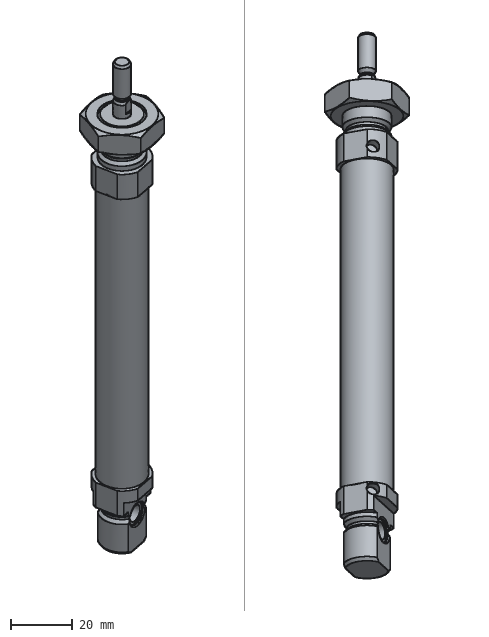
import cadquery as cq
import math

TOTAL_HEIGHT = 191.0
COVER_LENGTH = 10.0
REAR_COVER_BOTTOM = 17.0
FRONT_COVER_TOP = 153.0
BOSS_TOP = 170.2
FRONT_COVER_BOTTOM = FRONT_COVER_TOP - COVER_LENGTH

BARREL_DIAMETER = 17.4
COVER_DIAMETER = 20.0
COVER_ACROSS_FLATS = 18.1
BOSS_DIAMETER = 16.0
BOSS_END_DIAMETER = 14.3
BOSS_CHAMFER_LENGTH = 1.1
GROOVE_DIAMETER = 13.8
FRONT_GROOVE_TOP = 158.1
GROOVE_WIDTH = 3.2
REAR_GROOVE_TOP = 15.5

CLEVIS_THICKNESS = 12.0
CLEVIS_TOP = 22.2
PIVOT_HEIGHT = 13.0
PIVOT_DIAMETER = 6.0
PIVOT_RECESS_DIAMETER = 8.0
PIVOT_RECESS_DEPTH = 1.0
PIVOT_MOUTH_DIAMETER = 9.0

PORT_DIAMETER = 4.2
PORT_DEPTH = 3.8
PORT_ANGLE = 126.0
FRONT_PORT_HEIGHT = 147.0
REAR_PORT_HEIGHT = 24.6

ROD_DIAMETER = 6.0
ROD_END_DIAMETER = 4.8
ROD_CHAMFER_LENGTH = 1.0
ROD_NECK_DIAMETER = 4.2
ROD_THREAD_BOTTOM = 178.2
ROD_NECK_TOP = 176.9
ROD_SHOULDER = 176.5
ROD_ACROSS_FLATS = 5.0
ROD_FLATS_BOTTOM = 171.9

NUT_THICKNESS = 8.0
NUT_ACROSS_FLATS = 24.0
NUT_FACE_DIAMETER = 23.7
NUT_SIDES = 6
NUT_CHAMFER_ANGLE = 25.0


def cylinder(diameter, bottom, top):
    return cq.Workplane("XY").workplane(offset=bottom).circle(diameter / 2).extrude(top - bottom)


def turned(profile):
    """Revolve (radius, height) points, closed along the axis, about Z."""
    axis_points = [(0, profile[-1][1]), (0, profile[0][1])]
    return cq.Workplane("XZ").polyline(profile + axis_points).close().revolve(360, (0, 0), (0, 1))


def slab(width, depth, bottom, top):
    height = top - bottom
    return cq.Workplane("XY").workplane(offset=bottom).rect(width, depth).extrude(height)


def groove_profile(top):
    """Points of a 45-degree-sided groove in the boss diameter, from bottom to top."""
    outer = BOSS_DIAMETER / 2
    inner = GROOVE_DIAMETER / 2
    flank = outer - inner
    return [
        (outer, top - GROOVE_WIDTH),
        (inner, top - GROOVE_WIDTH + flank),
        (inner, top - flank),
        (outer, top),
    ]


def make_cover(bottom):
    """Round cover with four flats, square to X and Y."""
    top = bottom + COVER_LENGTH
    round_cover = cylinder(COVER_DIAMETER, bottom, top)
    return round_cover.intersect(slab(COVER_ACROSS_FLATS, COVER_ACROSS_FLATS, bottom, top))


def make_boss_and_stem():
    """Turned core: rear stem, barrel and front boss in one revolved profile."""
    boss_radius = BOSS_DIAMETER / 2
    end_radius = BOSS_END_DIAMETER / 2
    barrel_radius = BARREL_DIAMETER / 2
    stem = [(end_radius, 0), (boss_radius, BOSS_CHAMFER_LENGTH)]
    stem += groove_profile(REAR_GROOVE_TOP)
    stem += [(boss_radius, REAR_COVER_BOTTOM)]
    barrel = [(barrel_radius, REAR_COVER_BOTTOM), (barrel_radius, FRONT_COVER_TOP)]
    boss = [(boss_radius, FRONT_COVER_TOP)]
    boss += groove_profile(FRONT_GROOVE_TOP)
    boss += [(boss_radius, BOSS_TOP - BOSS_CHAMFER_LENGTH), (end_radius, BOSS_TOP)]
    return turned(stem + barrel + boss)


def cut_clevis_flats(body):
    """Trim both X sides of the rear end to the clevis thickness."""
    side_width = COVER_DIAMETER
    for side in (-1, 1):
        side_block = slab(side_width, 2 * COVER_DIAMETER, 0, CLEVIS_TOP)
        body = body.cut(side_block.translate((side * (CLEVIS_THICKNESS + side_width) / 2, 0, 0)))
    return body


def make_pivot_cutter():
    """Cross hole along X with a shallow recess, chamfered at 45 degrees, in each clevis face."""
    face = CLEVIS_THICKNESS / 2
    hole_radius = PIVOT_DIAMETER / 2
    recess_radius = PIVOT_RECESS_DIAMETER / 2
    mouth_radius = PIVOT_MOUTH_DIAMETER / 2
    recess_floor = face - PIVOT_RECESS_DEPTH
    chamfer_start = face - (mouth_radius - recess_radius)
    profile = [
        (mouth_radius, -face),
        (recess_radius, -chamfer_start),
        (recess_radius, -recess_floor),
        (hole_radius, -recess_floor),
        (hole_radius, recess_floor),
        (recess_radius, recess_floor),
        (recess_radius, chamfer_start),
        (mouth_radius, face),
    ]
    return turned(profile).rotate((0, 0, 0), (0, 1, 0), 90).translate((0, 0, PIVOT_HEIGHT))


def make_port_cutter(height):
    outer_radius = COVER_DIAMETER / 2
    port = cq.Workplane("YZ").circle(PORT_DIAMETER / 2).extrude(PORT_DEPTH)
    port = port.translate((outer_radius - PORT_DEPTH, 0, height))
    return port.rotate((0, 0, 0), (0, 0, 1), PORT_ANGLE)


def make_housing():
    body = make_boss_and_stem()
    for cover_bottom in (REAR_COVER_BOTTOM, FRONT_COVER_BOTTOM):
        body = body.union(make_cover(cover_bottom))
    body = cut_clevis_flats(body)
    body = body.cut(make_pivot_cutter())
    for port_height in (REAR_PORT_HEIGHT, FRONT_PORT_HEIGHT):
        body = body.cut(make_port_cutter(port_height))
    return body.cut(cylinder(ROD_DIAMETER, FRONT_COVER_BOTTOM, BOSS_TOP))


def make_rod():
    """Piston rod seated through the front cover, with an undercut thread and two wrench flats."""
    radius = ROD_DIAMETER / 2
    end_radius = ROD_END_DIAMETER / 2
    neck_radius = ROD_NECK_DIAMETER / 2
    shank = turned([
        (radius, FRONT_COVER_BOTTOM),
        (radius, ROD_SHOULDER - ROD_CHAMFER_LENGTH),
        (end_radius, ROD_SHOULDER),
    ])
    shank = shank.cut(
        slab(ROD_DIAMETER, ROD_DIAMETER, ROD_FLATS_BOTTOM, ROD_SHOULDER).cut(
            slab(ROD_ACROSS_FLATS, ROD_DIAMETER, ROD_FLATS_BOTTOM, ROD_SHOULDER)
        )
    )
    thread = turned([
        (neck_radius, ROD_SHOULDER),
        (neck_radius, ROD_NECK_TOP),
        (radius, ROD_THREAD_BOTTOM),
        (radius, TOTAL_HEIGHT - ROD_CHAMFER_LENGTH),
        (end_radius, TOTAL_HEIGHT),
    ])
    return shank.union(thread)


def make_nut():
    """Hexagon nut with corners on the Y axis and conical chamfers on both faces."""
    bottom = BOSS_TOP - NUT_THICKNESS
    corner_diameter = NUT_ACROSS_FLATS / math.cos(math.pi / NUT_SIDES)
    corner_radius = corner_diameter / 2
    face_radius = NUT_FACE_DIAMETER / 2
    corner_drop = (corner_radius - face_radius) * math.tan(math.radians(NUT_CHAMFER_ANGLE))
    hexagon = cq.Workplane("XY").polygon(NUT_SIDES, corner_diameter).extrude(NUT_THICKNESS)
    hexagon = hexagon.rotate((0, 0, 0), (0, 0, 1), 90).translate((0, 0, bottom))
    chamfer_envelope = turned([
        (face_radius, bottom),
        (corner_radius, bottom + corner_drop),
        (corner_radius, BOSS_TOP - corner_drop),
        (face_radius, BOSS_TOP),
    ])
    return hexagon.intersect(chamfer_envelope).cut(cylinder(BOSS_DIAMETER, bottom, BOSS_TOP))


housing = make_housing()
rod = make_rod()
nut = make_nut()

result = cq.Compound.makeCompound([housing.val(), rod.val(), nut.val()])